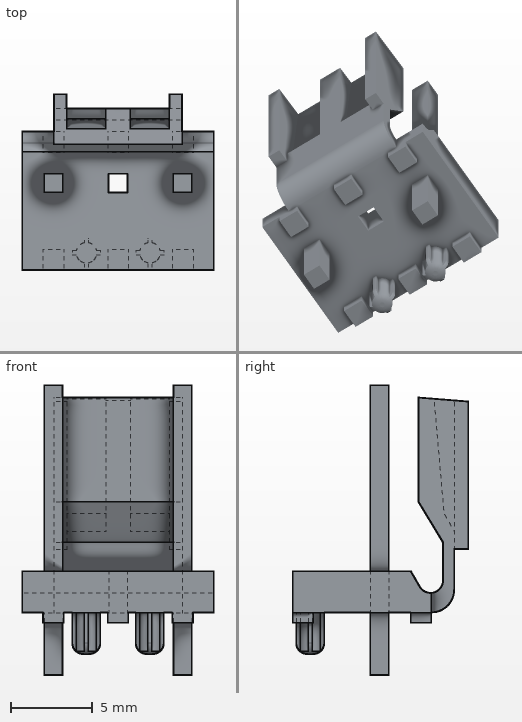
import cadquery as cq
import math


base_width = 11.75
base_depth = 8.52
base_height = 2.55
base_slope_top_y = 7.25
slope_angle = 60

stem_front_y = 9.23
stem_back_y = 9.92
groove_floor_z = 1.21
bend_radius = stem_back_y - base_depth

latch_width = 7.85
head_front_y = 7.72
head_back_y = 10.8
head_bottom_z = 3.9
head_slope_bottom_z = 4.3
head_slope_top_z = 6.8
head_front_top_z = 13.2
head_back_top_z = 12.95
side_wall = 0.78
rib_width = 1.48
pocket_front_y = 8.65
pocket_kink_y = 9.28
pocket_bottom_z = 4.98

pitch = 3.96
pin_side = 1.14
pin_y = 5.33
pin_length = 17.78
pin_below = 3.84

foot_side = 1.28
foot_height = 0.64

peg_spacing = 3.9
peg_y = 1.08
peg_length = 2.56
peg_core_diameter = 1.26
peg_rib_span = 1.75
peg_rib_width = 0.25
peg_end_radius = 0.71


def block(width, depth, height, front_y=0):
    """Box centred on X = 0, standing on Z = 0 with its front face at front_y."""
    box = cq.Workplane("XY").box(width, depth, height, centered=(True, False, False))
    return box.translate((0, front_y, 0))


def extrude_along_x(sketch, width):
    """Extrude a YZ outline symmetrically about X = 0."""
    return sketch.close().extrude(width / 2, both=True)


def groove_points():
    """Ends and middle of the groove arc, tangent to stem, floor and base slope."""
    angle = math.radians(slope_angle)
    slope_y = math.sin(angle)
    slope_z = math.cos(angle)
    reach = slope_y * (stem_front_y - base_slope_top_y) + slope_z * (groove_floor_z - base_height)
    radius = reach / (1 + slope_y - slope_z)
    center_y = stem_front_y - radius
    center_z = groove_floor_z + radius
    slope_end = (center_y - radius * slope_y, center_z - radius * slope_z)
    return slope_end, (center_y, groove_floor_z), (stem_front_y, center_z)


def make_base():
    """Base block with the slope and the start of the groove along its rear edge."""
    slope_end, groove_bottom, stem_end = groove_points()
    groove = (
        cq.Workplane("YZ")
        .moveTo(base_slope_top_y, base_height)
        .lineTo(*slope_end)
        .threePointArc(groove_bottom, stem_end)
        .lineTo(stem_front_y, base_height)
    )
    return block(base_width, base_depth, base_height).cut(extrude_along_x(groove, base_width))


def make_latch():
    """Bent stem carrying the latch head."""
    _, groove_bottom, stem_end = groove_points()
    groove_radius = stem_front_y - groove_bottom[0]
    diagonal = math.sqrt(0.5)
    groove_middle = (
        groove_bottom[0] + groove_radius * diagonal,
        stem_end[1] - groove_radius * diagonal,
    )
    bend_middle = (base_depth + bend_radius * diagonal, bend_radius * (1 - diagonal))
    profile = (
        cq.Workplane("YZ")
        .moveTo(groove_bottom[0], 0)
        .lineTo(base_depth, 0)
        .threePointArc(bend_middle, (stem_back_y, bend_radius))
        .lineTo(stem_back_y, head_bottom_z)
        .lineTo(head_back_y, head_bottom_z)
        .lineTo(head_back_y, head_back_top_z)
        .lineTo(head_front_y, head_front_top_z)
        .lineTo(head_front_y, head_slope_top_z)
        .lineTo(stem_front_y, head_slope_bottom_z)
        .lineTo(*stem_end)
        .threePointArc(groove_middle, groove_bottom)
    )
    latch = extrude_along_x(profile, latch_width)

    inner_width = latch_width - 2 * side_wall
    recess = block(inner_width, head_back_y - stem_back_y, head_front_top_z, stem_back_y)
    latch = latch.cut(recess)

    kink_z = pocket_bottom_z + (stem_back_y - pocket_kink_y) * math.tan(math.radians(slope_angle))
    pocket = (
        cq.Workplane("YZ")
        .moveTo(stem_back_y, pocket_bottom_z)
        .lineTo(pocket_kink_y, kink_z)
        .lineTo(pocket_front_y, head_front_top_z)
        .lineTo(stem_back_y, head_front_top_z)
    )
    pockets = extrude_along_x(pocket, inner_width)
    rib = block(rib_width, head_back_y, head_front_top_z)
    return latch.cut(pockets.cut(rib))


def square_bar(x, y, side, bottom, length):
    """Upright square bar centred at (x, y)."""
    bar = cq.Workplane("XY").box(side, side, length, centered=(True, True, False))
    return bar.translate((x, y, bottom))


def make_peg():
    """Round peg with four crush ribs and a rounded lower end."""
    core = cq.Workplane("XY").circle(peg_core_diameter / 2).extrude(-peg_length)
    ribs = (
        cq.Workplane("XY")
        .rect(peg_rib_span, peg_rib_width)
        .extrude(-peg_length)
        .union(cq.Workplane("XY").rect(peg_rib_width, peg_rib_span).extrude(-peg_length))
    )
    envelope = cq.Workplane("XY").circle(peg_rib_span / 2).extrude(-peg_length)
    envelope = envelope.faces("<Z").edges().fillet(peg_end_radius)
    return core.union(ribs).intersect(envelope)


result = make_base().union(make_latch())

for x in (-pitch, 0, pitch):
    for y in (foot_side / 2, base_depth - foot_side / 2):
        result = result.union(square_bar(x, y, foot_side, -foot_height, foot_height))

for x in (-pitch, pitch):
    result = result.union(square_bar(x, pin_y, pin_side, -pin_below, pin_length))
result = result.cut(square_bar(0, pin_y, pin_side, 0, base_height))

peg = make_peg()
for x in (-peg_spacing / 2, peg_spacing / 2):
    result = result.union(peg.translate((x, peg_y, 0)))